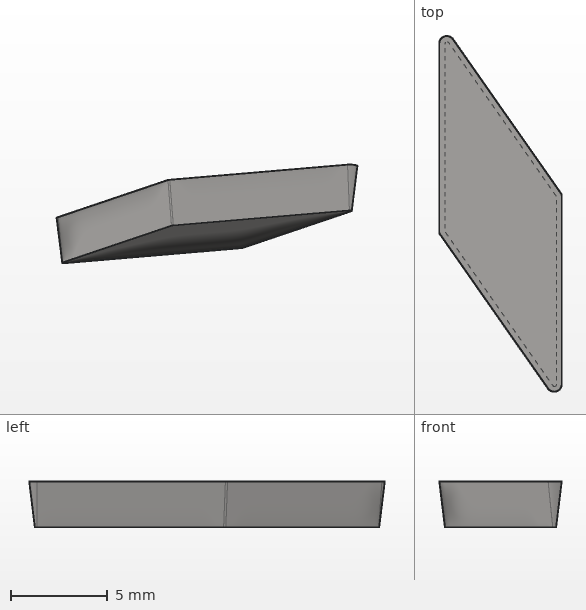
import cadquery as cq
import math

inscribed_circle = 6.35
thickness = 2.38
nose_angle = 35.0
relief_angle = 7.0
nose_radius = 0.397
blunt_edge_radius = 0.2

nose = math.radians(nose_angle)
half_width = inscribed_circle / 2
side_length = inscribed_circle / math.sin(nose)
skew = inscribed_circle / math.tan(nose)

tip_y = (side_length + skew) / 2
blunt_y = side_length - tip_y


def top_outline():
    """Rhombus with rounded noses and sharp blunt corners."""
    corners = [
        (-half_width, tip_y),
        (-half_width, -blunt_y),
        (half_width, -tip_y),
        (half_width, blunt_y),
    ]
    closed_corners = corners + corners[:1]
    return cq.Sketch().polygon(closed_corners).vertices(">Y or <Y").fillet(nose_radius)


def relieved_body():
    """Body whose side faces lean inward from the top face down to the bottom."""
    top_plane = cq.Workplane("XY").workplane(offset=thickness)
    return top_plane.placeSketch(top_outline()).extrude(-thickness, taper=relief_angle)


def round_blunt_edges(body):
    """Round the two leaning edges at the blunt corners."""
    for side in (-1, 1):
        near_edge = (side * half_width, side * blunt_y, thickness / 2)
        blunt_edge = cq.selectors.NearestToPointSelector(near_edge)
        body = body.edges(blunt_edge).fillet(blunt_edge_radius)
    return body


result = round_blunt_edges(relieved_body())